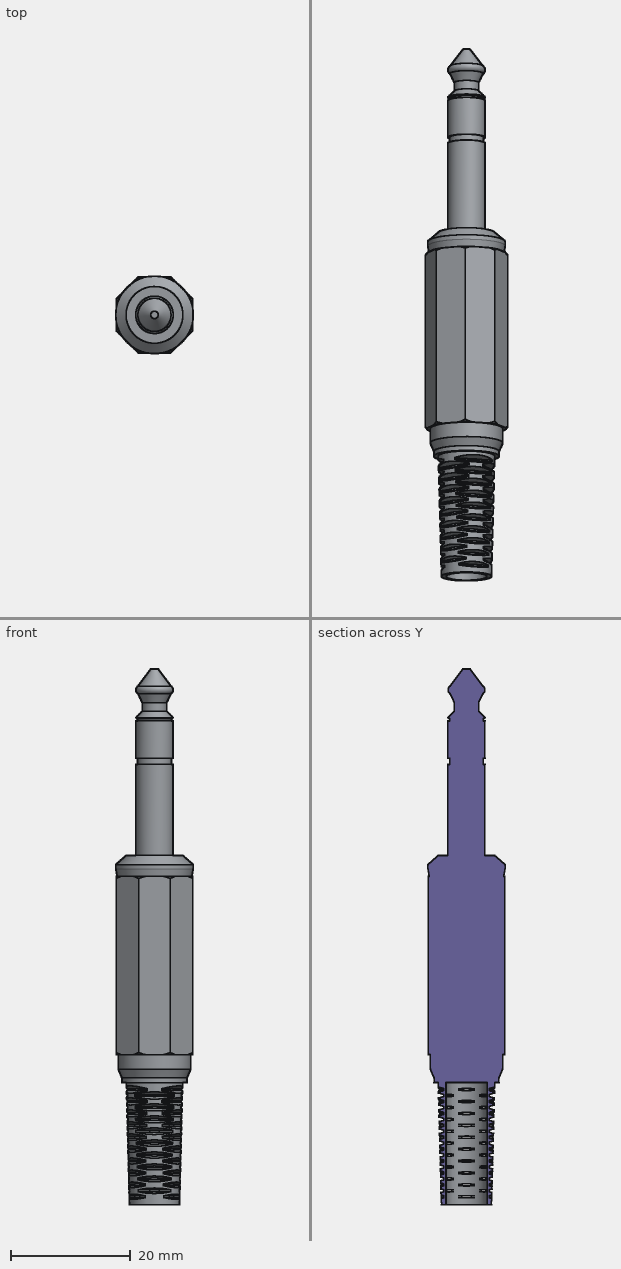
import cadquery as cq
import math

total_length = 89.6
rod_radius = 3.1
insulator_radius = 2.9
neck_radius = 2.1
point_radius = 0.6
cone_end_z = 86.8
cone_end_radius = 2.8
bulge_radius = 3.1
bulge_z = 86.1
bulge_end_z = 85.5
neck_top_z = 84.0
neck_bottom_z = 82.6
tip_skirt_z = 81.5
tip_insulator_top_z = 81.3
ring_top_z = 80.95
ring_bottom_z = 74.7
sleeve_top_z = 73.7

collar_diameter = 13.0
collar_radius = collar_diameter / 2
collar_face_radius = 4.75
collar_top_z = 58.45
collar_rim_top_z = 56.9
collar_rim_bottom_z = 56.2
collar_foot_radius = 6.3

grip_sides = 8
grip_across_flats = 12.8
grip_top_z = 54.95
grip_bottom_z = 25.1
grip_corner_chamfer = 0.4

cap_radius = 6.1
cap_taper_z = 22.7
cap_end_radius = 5.5
cap_lip_z = 21.2
cap_bottom_z = 20.4

relief_top_radius = 4.75
relief_bottom_radius = 4.2
bore_radius = 3.4
bore_depth = cap_bottom_z
slot_floor_distance = 3.3
slot_floor_height = 0.3
slot_mouth_height = 1.25
slots_per_ring = 3
first_slot_angle = 90
ring_count = 10
first_ring_z = 1.3
last_ring_z = 19.3
ring_pitch = (last_ring_z - first_ring_z) / (ring_count - 1)


def make_plug():
    return (
        cq.Workplane("XZ")
        .moveTo(0, total_length)
        .lineTo(point_radius, total_length)
        .lineTo(cone_end_radius, cone_end_z)
        .threePointArc((bulge_radius, bulge_z), (cone_end_radius, bulge_end_z))
        .lineTo(neck_radius, neck_top_z)
        .lineTo(neck_radius, neck_bottom_z)
        .lineTo(rod_radius, tip_skirt_z)
        .lineTo(insulator_radius, tip_insulator_top_z)
        .lineTo(insulator_radius, ring_top_z)
        .lineTo(rod_radius, ring_top_z)
        .lineTo(rod_radius, ring_bottom_z)
        .lineTo(insulator_radius, ring_bottom_z)
        .lineTo(insulator_radius, sleeve_top_z)
        .lineTo(rod_radius, sleeve_top_z)
        .lineTo(rod_radius, collar_top_z)
        .lineTo(0, collar_top_z)
        .close()
        .revolve(360, (0, 0), (0, 1))
    )


def make_collar():
    return (
        cq.Workplane("XZ")
        .moveTo(0, collar_top_z)
        .lineTo(collar_face_radius, collar_top_z)
        .lineTo(collar_radius, collar_rim_top_z)
        .lineTo(collar_radius, collar_rim_bottom_z)
        .lineTo(collar_foot_radius, grip_top_z)
        .lineTo(0, grip_top_z)
        .close()
        .revolve(360, (0, 0), (0, 1))
    )


def make_grip():
    corner_radius = grip_across_flats / 2 / math.cos(math.pi / grip_sides)
    length = grip_top_z - grip_bottom_z
    base = cq.Workplane("XY").workplane(offset=grip_bottom_z)
    octagon = (
        base.transformed(rotate=(0, 0, 180 / grip_sides))
        .polygon(grip_sides, 2 * corner_radius)
        .extrude(length)
    )
    envelope = base.circle(corner_radius).extrude(length).faces("|Z").chamfer(grip_corner_chamfer)
    return octagon.intersect(envelope)


def make_cap():
    return (
        cq.Workplane("XZ")
        .moveTo(0, grip_bottom_z)
        .lineTo(cap_radius, grip_bottom_z)
        .lineTo(cap_radius, cap_taper_z)
        .lineTo(cap_end_radius, cap_lip_z)
        .lineTo(cap_end_radius, cap_bottom_z)
        .lineTo(0, cap_bottom_z)
        .close()
        .revolve(360, (0, 0), (0, 1))
    )


def make_slot(z, angle):
    """A flat-floored slot that widens outward, cut straight across the wall of the strain relief."""
    reach = relief_top_radius + 0.9
    slope = (slot_mouth_height - slot_floor_height) / 2 / (relief_top_radius - slot_floor_distance)
    floor_half = slot_floor_height / 2
    outer_half = floor_half + slope * (reach - slot_floor_distance)
    return (
        cq.Workplane("XZ")
        .moveTo(slot_floor_distance, z - floor_half)
        .lineTo(reach, z - outer_half)
        .lineTo(reach, z + outer_half)
        .lineTo(slot_floor_distance, z + floor_half)
        .close()
        .extrude(reach, both=True)
        .rotate((0, 0, 0), (0, 0, 1), angle)
    )


def make_strain_relief():
    relief = (
        cq.Workplane("XY")
        .circle(relief_bottom_radius)
        .workplane(offset=cap_bottom_z)
        .circle(relief_top_radius)
        .loft()
        .cut(cq.Workplane("XY").circle(bore_radius).extrude(bore_depth))
    )
    step = 360 / slots_per_ring
    for ring in range(ring_count):
        z = first_ring_z + ring * ring_pitch
        for slot in range(slots_per_ring):
            relief = relief.cut(make_slot(z, first_slot_angle + slot * step))
            if ring < ring_count - 1:
                relief = relief.cut(make_slot(z + ring_pitch / 2, first_slot_angle + (slot + 0.5) * step))
    return relief


result = (
    make_plug()
    .union(make_collar())
    .union(make_grip())
    .union(make_cap())
    .union(make_strain_relief())
)